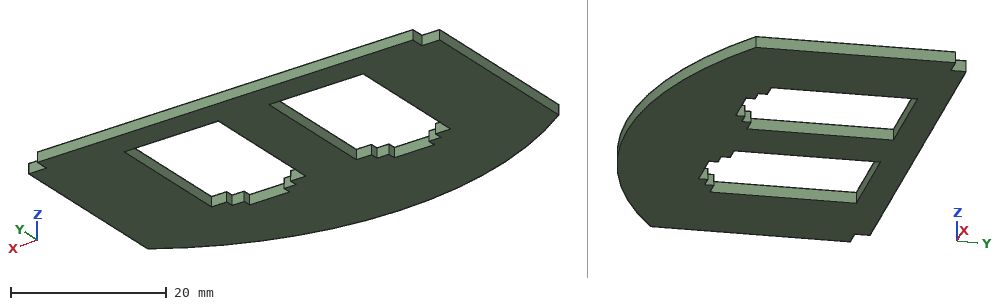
import cadquery as cq

width = 65.0
depth = 38.25
side_depth = 28.2
thickness = 1.5
corner_notch_width = 2.8
corner_notch_depth = 2.0

opening_pitch = 22.9
opening_width = 14.9
opening_back_margin = 4.1
opening_length = 19.2
step_depth = 1.2
middle_step_width = 10.1
end_step_width = 6.3


def make_plate():
    """Plate with notched back corners and an arc-shaped front edge."""
    side_x = width / 2
    notch_x = side_x - corner_notch_width
    return (
        cq.Workplane("XY")
        .moveTo(-notch_x, 0)
        .lineTo(notch_x, 0)
        .lineTo(notch_x, -corner_notch_depth)
        .lineTo(side_x, -corner_notch_depth)
        .lineTo(side_x, -side_depth)
        .threePointArc((0, -depth), (-side_x, -side_depth))
        .lineTo(-side_x, -corner_notch_depth)
        .lineTo(-notch_x, -corner_notch_depth)
        .close()
        .extrude(thickness)
    )


def cut_opening(plate, center_x):
    """Cut a through opening that narrows in two steps toward the front."""
    stretches = (
        (opening_width, opening_length),
        (middle_step_width, opening_length + step_depth),
        (end_step_width, opening_length + 2 * step_depth),
    )
    for stretch_width, stretch_length in stretches:
        stretch = (
            cq.Workplane("XY")
            .center(center_x, -opening_back_margin - stretch_length / 2)
            .rect(stretch_width, stretch_length)
            .extrude(thickness)
        )
        plate = plate.cut(stretch)
    return plate


result = make_plate()
for side in (-1, 1):
    result = cut_opening(result, side * opening_pitch / 2)